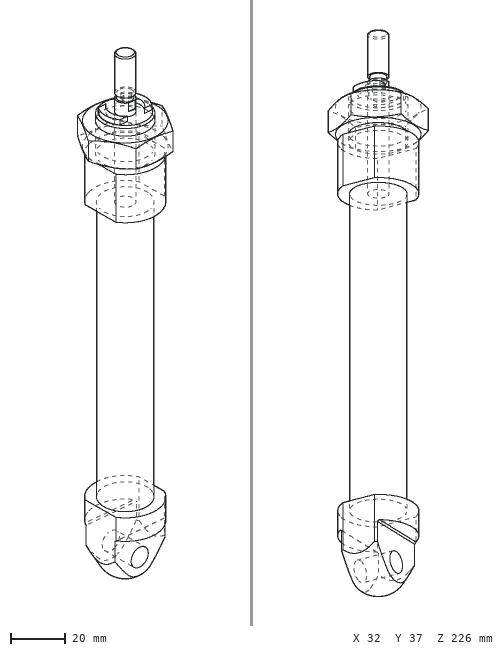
import cadquery as cq
import math

TIP_EAR_TOP = 23.5
REAR_CAP_TOP = 33.7
FRONT_CAP_BOTTOM = 161.4
FRONT_CAP_TOP = 182.2
NUT_BOTTOM = 185.3
NUT_HEIGHT = 11.0
COLLAR_TOP = 200.5
LUG_TOP = 202.7
ROD_FLATS_TOP = 206.3
ROD_THREAD_BOTTOM = 208.5
ROD_TOP = 226.0

CAP_DIAMETER = 30.0
CAP_FLAT_FRONT = 12.5
CAP_FLAT_BACK = 13.3
TUBE_DIAMETER = 21.2

EAR_THICKNESS = 15.8
EAR_SHOULDER = 0.7
TIP_RADIUS = 11.3
TIP_SLOPE = math.radians(60)
PIN_HOLE_DIAMETER = 8.5
PIN_HOLE_HEIGHT = 11.0

COLLAR_DIAMETER = 22.0
COLLAR_CHAMFER = 0.8
LUG_OUTER_DIAMETER = 20.0
LUG_INNER_DIAMETER = 14.5
LUG_WIDTH = 11.8

NUT_ACROSS_FLATS = 32.0
NUT_ACROSS_CORNERS = NUT_ACROSS_FLATS / math.cos(math.pi / 6)
NUT_CHAMFER_DIAMETER = 31.6
NUT_CHAMFER_HEIGHT = 1.1

ROD_DIAMETER = 8.0
ROD_NECK_DIAMETER = 6.3
ROD_CHAMFER = 0.56
ROD_ACROSS_FLATS = 7.2
ROD_BOTTOM = FRONT_CAP_BOTTOM


def cylinder(diameter, bottom, top):
    """Cylinder on the Z axis between two heights."""
    return cq.Workplane("XY").workplane(offset=bottom).circle(diameter / 2).extrude(top - bottom)


def cap(bottom, top):
    """Round cap cut by a flat on its -Y side and a narrower flat on its +Y side."""
    slab = cq.Workplane("XY").box(
        CAP_DIAMETER, CAP_FLAT_FRONT + CAP_FLAT_BACK, top - bottom, centered=(True, False, False)
    ).translate((0, -CAP_FLAT_FRONT, bottom))
    return cylinder(CAP_DIAMETER, bottom, top).intersect(slab)


def clevis_envelope():
    """Spherical tip that runs tangentially into a cone and then a cylinder."""
    cap_radius = CAP_DIAMETER / 2
    tangent_radius = TIP_RADIUS * math.sin(TIP_SLOPE)
    tangent_height = TIP_RADIUS * (1 - math.cos(TIP_SLOPE))
    mid_radius = TIP_RADIUS * math.sin(TIP_SLOPE / 2)
    mid_height = TIP_RADIUS * (1 - math.cos(TIP_SLOPE / 2))
    cone_top = tangent_height + (cap_radius - tangent_radius) * math.tan(TIP_SLOPE)
    return (
        cq.Workplane("XZ")
        .moveTo(0, 0)
        .threePointArc((mid_radius, mid_height), (tangent_radius, tangent_height))
        .lineTo(cap_radius, cone_top)
        .lineTo(cap_radius, REAR_CAP_TOP)
        .lineTo(0, REAR_CAP_TOP)
        .close()
        .revolve(360, (0, 0, 0), (0, 1, 0))
    )


def rear_cap():
    """Rear cap narrowing through a small sloped shoulder to a drilled, rounded ear."""
    half_cap = CAP_DIAMETER / 2
    half_ear = EAR_THICKNESS / 2
    profile = (
        cq.Workplane("XZ")
        .polyline([
            (-half_ear, 0),
            (half_ear, 0),
            (half_ear, TIP_EAR_TOP - EAR_SHOULDER),
            (half_ear + EAR_SHOULDER, TIP_EAR_TOP),
            (half_cap, TIP_EAR_TOP),
            (half_cap, REAR_CAP_TOP),
            (-half_cap, REAR_CAP_TOP),
            (-half_cap, TIP_EAR_TOP),
            (-half_ear - EAR_SHOULDER, TIP_EAR_TOP),
            (-half_ear, TIP_EAR_TOP - EAR_SHOULDER),
        ])
        .close()
        .extrude(half_cap, both=True)
    )
    pin_hole = (
        cq.Workplane("YZ")
        .center(0, PIN_HOLE_HEIGHT)
        .circle(PIN_HOLE_DIAMETER / 2)
        .extrude(half_cap, both=True)
    )
    return cap(0, REAR_CAP_TOP).intersect(clevis_envelope()).intersect(profile).cut(pin_hole)


def lugs():
    """Two opposed ring segments on the end face of the collar."""
    height = LUG_TOP - COLLAR_TOP
    strip = cq.Workplane("XY").box(
        LUG_WIDTH, LUG_OUTER_DIAMETER, height, centered=(True, True, False)
    ).translate((0, 0, COLLAR_TOP))
    ring = cylinder(LUG_OUTER_DIAMETER, COLLAR_TOP, LUG_TOP).cut(
        cylinder(LUG_INNER_DIAMETER, COLLAR_TOP, LUG_TOP)
    )
    return ring.intersect(strip)


def make_housing():
    """Tube with both end caps, collar and lugs, bored for the rod."""
    collar = cylinder(COLLAR_DIAMETER, FRONT_CAP_TOP, COLLAR_TOP).faces(">Z").chamfer(COLLAR_CHAMFER)
    return (
        rear_cap()
        .union(cylinder(TUBE_DIAMETER, REAR_CAP_TOP, FRONT_CAP_BOTTOM))
        .union(cap(FRONT_CAP_BOTTOM, FRONT_CAP_TOP))
        .union(collar)
        .union(lugs())
        .cut(cylinder(ROD_DIAMETER, ROD_BOTTOM, COLLAR_TOP))
    )


def make_nut():
    """Hexagon nut with corners along Y, chamfered at both ends and seated on the collar."""
    corner_radius = NUT_ACROSS_CORNERS / 2
    chamfer_width = corner_radius - NUT_CHAMFER_DIAMETER / 2
    hexagon = (
        cq.Workplane("XY")
        .polygon(6, NUT_ACROSS_CORNERS)
        .extrude(NUT_HEIGHT)
        .rotate((0, 0, 0), (0, 0, 1), 30)
    )
    envelope = (
        cq.Workplane("XZ")
        .polyline([
            (0, 0),
            (corner_radius - chamfer_width, 0),
            (corner_radius, NUT_CHAMFER_HEIGHT),
            (corner_radius, NUT_HEIGHT - NUT_CHAMFER_HEIGHT),
            (corner_radius - chamfer_width, NUT_HEIGHT),
            (0, NUT_HEIGHT),
        ])
        .close()
        .revolve(360, (0, 0, 0), (0, 1, 0))
    )
    nut = hexagon.intersect(envelope).translate((0, 0, NUT_BOTTOM))
    return nut.cut(cylinder(COLLAR_DIAMETER, NUT_BOTTOM, NUT_BOTTOM + NUT_HEIGHT))


def make_rod():
    """Piston rod with wrench flats, an undercut neck and a chamfered threaded end."""
    flats_height = ROD_FLATS_TOP - LUG_TOP
    flats = cq.Workplane("XY").box(
        ROD_ACROSS_FLATS, ROD_DIAMETER, flats_height, centered=(True, True, False)
    ).translate((0, 0, LUG_TOP))
    flatted = cylinder(ROD_DIAMETER, LUG_TOP, ROD_FLATS_TOP).intersect(flats)
    threaded_end = (
        cylinder(ROD_DIAMETER, ROD_THREAD_BOTTOM, ROD_TOP).faces(">Z").chamfer(ROD_CHAMFER)
    )
    return (
        cylinder(ROD_DIAMETER, ROD_BOTTOM, LUG_TOP)
        .union(flatted)
        .union(cylinder(ROD_NECK_DIAMETER, ROD_FLATS_TOP, ROD_THREAD_BOTTOM))
        .union(threaded_end)
    )


housing = make_housing()
nut = make_nut()
rod = make_rod()

result = cq.Compound.makeCompound([housing.val(), nut.val(), rod.val()])